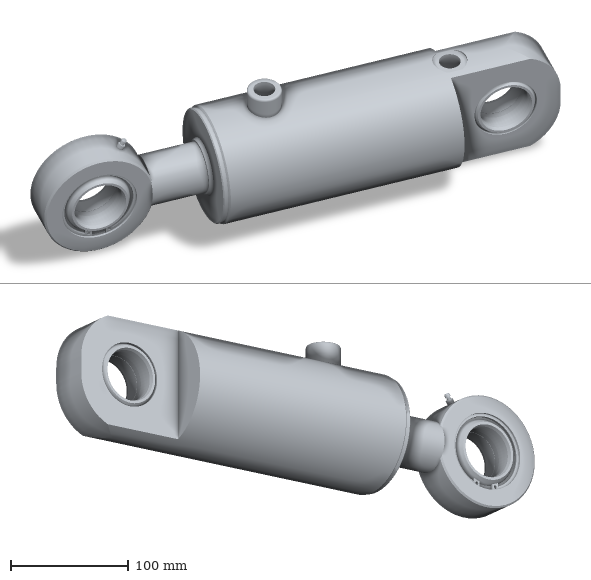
import cadquery as cq
import math


barrel_diameter = 105.0
barrel_radius = barrel_diameter / 2
pin_distance = 370.0
rear_eye_width = 38.0
rear_eye_end = 50.0
rear_corner_radius = 45.0
barrel_rear_y = -rear_eye_end
barrel_front_y = -264.5
barrel_edge_chamfer = 1.5

gland_face_diameter = 100.0
gland_length = 4.5
gland_front_y = barrel_front_y - gland_length
gland_edge_chamfer = 1.0
gland_diameter = gland_face_diameter + 2 * gland_edge_chamfer
wiper_length = 3.5
wiper_front_y = gland_front_y - wiper_length
wiper_base_diameter = 51.5
wiper_tip_diameter = 48.5

port_diameter = 30.0
port_bore_diameter = 18.63
port_bore_depth = 16.0
port_drill_angle = 118.0
rear_port_y = -44.0
rear_port_top_z = 50.7
front_port_y = -213.0
front_port_top_z = 70.0
front_port_fillet = 2.0

rod_diameter = 45.0
rod_shoulder_y = -323.0
rod_insertion = 45.0
rod_inner_y = gland_front_y + rod_insertion
rod_eye_diameter = 100.0
rod_eye_width = 37.0
rod_eye_chamfer = 1.5

bearing_width = 40.0
bearing_bore = 45.0
bore_groove_diameter = 45.5
bore_groove_width = 6.0
lead_in_length = 3.5
lead_in_depth = 1.0
ball_face_diameter = 51.5
ball_radius = math.hypot(ball_face_diameter / 2, bearing_width / 2)
ball_opening_diameter = 57.0
rear_seat_half_width = math.sqrt(ball_radius**2 - (ball_opening_diameter / 2) ** 2)
front_race_diameter = 68.0
front_race_half_width = 14.0

ring_thickness = 2.5
ring_outer_diameter = 71.0
ring_inner_diameter = 63.0
ring_gap = 13.0
ring_ear_width = 6.0
ring_ear_inner_radius = 28.5
ring_ear_hole_diameter = 3.0

nipple_tilt = 30.0
nipple_stem_diameter = 4.0
nipple_stem_depth = 6.0
nipple_base_diameter = 6.5
nipple_base_height = 4.0
nipple_neck_diameter = 3.57
nipple_neck_height = 6.0
nipple_head_diameter = 4.92
nipple_head_height = 8.0
nipple_tip_diameter = 3.0
nipple_height = 9.5


def x_cylinder(diameter, width, y=0.0):
    """Cylinder along X, centred on x = 0, with its axis at the given y."""
    return cq.Workplane("YZ").center(y, 0).circle(diameter / 2).extrude(width / 2, both=True)


def y_cylinder(diameter, rear_y, front_y):
    """Cylinder on the Y axis from rear_y forward to front_y."""
    return cq.Workplane("XZ", origin=(0, rear_y, 0)).circle(diameter / 2).extrude(rear_y - front_y)


def port_bore(y, top_z):
    """Blind drilled hole with a conical bottom, going down from top_z."""
    radius = port_bore_diameter / 2
    cone_height = radius / math.tan(math.radians(port_drill_angle / 2))
    return (
        cq.Workplane("XZ")
        .lineTo(radius, 0)
        .lineTo(radius, -port_bore_depth)
        .lineTo(0, -port_bore_depth - cone_height)
        .close()
        .revolve(360, (0, 0, 0), (0, 1, 0))
        .translate((0, y, top_z))
    )


def make_rear_eye():
    """Flat tongue with rounded corners, trimmed to the barrel diameter."""
    length = rear_eye_end - barrel_rear_y
    tongue = (
        cq.Workplane("XY")
        .box(rear_eye_width, length, barrel_diameter)
        .translate((0, (rear_eye_end + barrel_rear_y) / 2, 0))
        .edges("|X and >Y")
        .fillet(rear_corner_radius)
    )
    return tongue.intersect(y_cylinder(barrel_diameter, rear_eye_end, barrel_rear_y))


def make_gland():
    """Chamfered gland flange with a tapered wiper lip around the rod."""
    flange = (
        y_cylinder(gland_diameter, barrel_front_y, gland_front_y)
        .faces("<Y")
        .chamfer(gland_edge_chamfer)
    )
    wiper = (
        cq.Workplane("XZ", origin=(0, gland_front_y, 0))
        .circle(wiper_base_diameter / 2)
        .workplane(offset=wiper_length)
        .circle(wiper_tip_diameter / 2)
        .loft()
    )
    return flange.union(wiper)


def make_barrel():
    tube = (
        y_cylinder(barrel_diameter, barrel_rear_y, barrel_front_y)
        .faces("<Y")
        .chamfer(barrel_edge_chamfer)
    )
    front_port = (
        cq.Workplane("XY")
        .center(0, front_port_y)
        .circle(port_diameter / 2)
        .extrude(front_port_top_z)
        .faces(">Z")
        .fillet(front_port_fillet)
    )
    rear_spotface = (
        cq.Workplane("XY", origin=(0, rear_port_y, rear_port_top_z))
        .circle(port_diameter / 2)
        .extrude(barrel_radius)
    )
    return (
        tube.union(make_rear_eye())
        .union(make_gland())
        .union(front_port)
        .cut(rear_spotface)
        .cut(port_bore(rear_port_y, rear_port_top_z))
        .cut(port_bore(front_port_y, front_port_top_z))
        .cut(x_cylinder(ball_opening_diameter, rear_eye_width))
        .cut(y_cylinder(rod_diameter, rod_inner_y, wiper_front_y))
    )


def make_bearing(seat_half_width):
    """Spherical bearing centred on the origin.

    Its outside is a cylindrical seat where the ball meets the planes x = +/- seat_half_width,
    and the bare ball beyond them.
    """
    half_width = bearing_width / 2
    half_groove = bore_groove_width / 2
    bore_radius = bearing_bore / 2
    groove_radius = bore_groove_diameter / 2
    face_radius = ball_face_diameter / 2
    seat_radius = math.sqrt(ball_radius**2 - seat_half_width**2)
    flank_x = (seat_half_width + half_width) / 2
    flank_radius = math.sqrt(ball_radius**2 - flank_x**2)
    return (
        cq.Workplane("XY")
        .moveTo(-half_width, bore_radius + lead_in_depth)
        .lineTo(lead_in_length - half_width, bore_radius)
        .lineTo(-half_groove, bore_radius)
        .lineTo(-half_groove, groove_radius)
        .lineTo(half_groove, groove_radius)
        .lineTo(half_groove, bore_radius)
        .lineTo(half_width - lead_in_length, bore_radius)
        .lineTo(half_width, bore_radius + lead_in_depth)
        .lineTo(half_width, face_radius)
        .threePointArc((flank_x, flank_radius), (seat_half_width, seat_radius))
        .lineTo(-seat_half_width, seat_radius)
        .threePointArc((-flank_x, flank_radius), (-half_width, face_radius))
        .close()
        .revolve(360, (0, 0, 0), (1, 0, 0))
    )


def make_retaining_ring():
    """Retaining ring with its gap and two ears at the bottom, lying from x = 0 to +X."""
    ring = (
        cq.Workplane("YZ")
        .circle(ring_outer_diameter / 2)
        .circle(ring_inner_diameter / 2)
        .extrude(ring_thickness)
    )
    ear_centre_y = (ring_gap + ring_ear_width) / 2
    ear_centre_z = -(ring_ear_inner_radius + ring_ear_hole_diameter / 2)
    lower_half = cq.Workplane("YZ").center(0, -ring_outer_diameter / 2)
    ear_span = lower_half.rect(ring_gap + 2 * ring_ear_width, ring_outer_diameter).extrude(ring_thickness)
    gap = lower_half.rect(ring_gap, ring_outer_diameter).extrude(ring_thickness)
    ears = (
        cq.Workplane("YZ")
        .circle(ring_outer_diameter / 2)
        .circle(ring_ear_inner_radius)
        .extrude(ring_thickness)
        .intersect(ear_span)
    )
    ear_holes = (
        cq.Workplane("YZ")
        .pushPoints([(side * ear_centre_y, ear_centre_z) for side in (-1, 1)])
        .circle(ring_ear_hole_diameter / 2)
        .extrude(ring_thickness)
    )
    return ring.union(ears).cut(gap).cut(ear_holes)


def make_front_bearing():
    """Bearing with an outer race and a retaining ring against each race face."""
    bearing = make_bearing(front_race_half_width)
    race_width = 2 * front_race_half_width
    race = x_cylinder(front_race_diameter, race_width).cut(x_cylinder(ball_opening_diameter, race_width))
    right_ring = make_retaining_ring().translate((front_race_half_width, 0, 0))
    left_ring = right_ring.mirror("YZ")
    bearing = bearing.union(race).union(right_ring).union(left_ring)
    return bearing.translate((0, -pin_distance, 0))


def tilt_on_eye(shape):
    """Move a shape from the origin to the top of the rod eye, tilted toward the barrel."""
    return (
        shape.translate((0, 0, rod_eye_diameter / 2))
        .rotate((0, 0, 0), (1, 0, 0), -nipple_tilt)
        .translate((0, -pin_distance, 0))
    )


def make_nipple():
    """Turned grease nipple, tilted toward the barrel on top of the rod eye."""
    nipple = (
        cq.Workplane("XZ")
        .moveTo(0, -nipple_stem_depth)
        .lineTo(nipple_stem_diameter / 2, -nipple_stem_depth)
        .lineTo(nipple_stem_diameter / 2, 0)
        .lineTo(nipple_base_diameter / 2, 0)
        .lineTo(nipple_base_diameter / 2, nipple_base_height)
        .lineTo(nipple_neck_diameter / 2, nipple_base_height)
        .lineTo(nipple_neck_diameter / 2, nipple_neck_height)
        .lineTo(nipple_head_diameter / 2, nipple_neck_height)
        .lineTo(nipple_head_diameter / 2, nipple_head_height)
        .lineTo(nipple_tip_diameter / 2, nipple_height)
        .lineTo(0, nipple_height)
        .close()
        .revolve(360, (0, 0, 0), (0, 1, 0))
    )
    return tilt_on_eye(nipple)


def make_rod():
    """Rod with its eye, recessed for the bearing and the nipple."""
    ring_span = 2 * (front_race_half_width + ring_thickness)
    nipple_hole = tilt_on_eye(
        cq.Workplane("XY").circle(nipple_stem_diameter / 2).extrude(-nipple_stem_depth)
    )
    eye = x_cylinder(rod_eye_diameter, rod_eye_width, -pin_distance)
    eye = eye.faces("<X or >X").chamfer(rod_eye_chamfer)
    rod = y_cylinder(rod_diameter, rod_inner_y, rod_shoulder_y)
    return (
        rod.union(eye)
        .cut(x_cylinder(front_race_diameter, rod_eye_width, -pin_distance))
        .cut(x_cylinder(ring_outer_diameter, ring_span, -pin_distance))
        .cut(nipple_hole)
    )


barrel = make_barrel()
rod = make_rod()
rear_bearing = make_bearing(rear_seat_half_width)
front_bearing = make_front_bearing()
nipple = make_nipple()
result = cq.Compound.makeCompound(
    [barrel.val(), rod.val(), rear_bearing.val(), front_bearing.val(), nipple.val()]
)